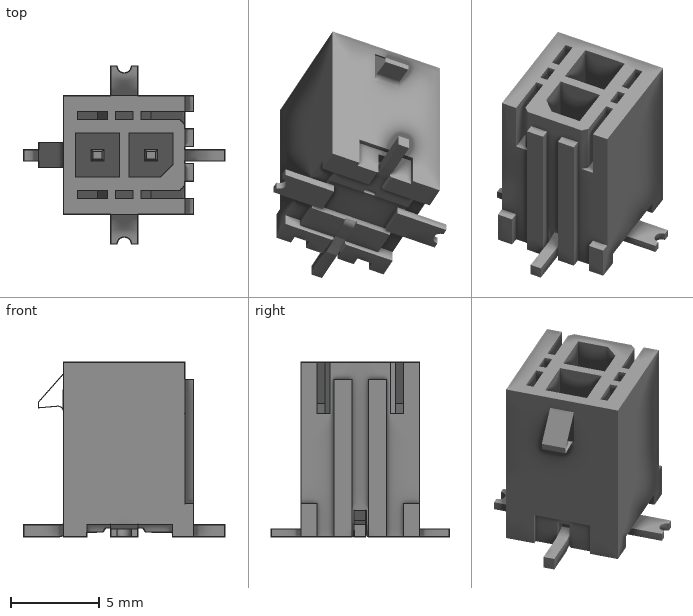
import cadquery as cq
import math


height = 9.9
half_depth = 3.36
x_left = -3.44
x_right = 3.43
pitch = 3.03

cavity_size = 2.51
cavity_floor_z = 3.0
polarizing_chamfer = 0.73

slot_y_inner = 2.0
slot_y_outer = 2.45
slot_floor_z = 7.0
middle_slot_length = 0.97
left_slot_x = -2.64
ramp_x_inner = 0.96
ramp_run = 0.55
ramp_rise = ramp_run
slot_mouth_chamfer = 0.28

rib_projection = 0.5
rib_y_inner = 0.47
rib_y_outer = 1.49
rib_top_z = 8.92
foot_y_inner = 2.45
foot_top_z = 1.89

latch_width = 1.43
latch_projection = 1.4
latch_top_z = 9.23
latch_nose_top_z = 7.65
latch_nose_bottom_z = 7.31
latch_root_z = 7.4
latch_root_radius = 0.34

relief_x_left = -2.12
relief_x_right = 2.73
relief_z = 0.28
side_notch_z = 0.71
end_recess_width = 3.34
end_recess_height = 1.88
end_recess_depth = 0.25

contact_reach = 5.7
contact_y = -0.02
contact_width = 0.65
post_thickness = 0.735
post_top_z = 7.0
tip_inset = 0.12
tip_length = 0.6
tip_base_z = post_top_z - tip_length
tail_thickness = 0.7
ramp_start_x = 3.56
ramp_under_start_x = 3.72
ramp_end_x = 2.62
ramp_angle = 13.3
ramp_slope = math.tan(math.radians(ramp_angle))
ramp_top_z = tail_thickness + (ramp_start_x - ramp_end_x) * ramp_slope
tail_lift = (ramp_under_start_x - ramp_end_x) * ramp_slope
base_top_z = 2.2
heel_radius = 0.5
post_x_inner = pitch / 2 - post_thickness / 2
post_x_outer = pitch / 2 + post_thickness / 2

channel_width = 0.71
channel_top_z = 1.51
channel_flare = 0.1

clip_reach = 5.047
clip_width = 1.53
clip_thickness = 0.46
clip_leg_top_z = 2.5
clip_notch_radius = 0.4
clip_channel_z = 0.5
clip_channel_half_top = 1.06
clip_channel_half_bottom = 1.2

cut_margin = 1.0


def box(x0, x1, y0, y1, z0, z1):
    """Box between two opposite corners."""
    return cq.Workplane("XY").box(x1 - x0, y1 - y0, z1 - z0, centered=False).translate((x0, y0, z0))


def along_y(outline, y0, y1):
    """Closed XZ outline extruded from y0 to y1."""
    return outline.close().extrude(y0 - y1).translate((0, y0, 0))


def make_block():
    """Plain block with the ribs and feet on its +X side."""
    block = box(x_left, x_right, -half_depth, half_depth, 0, height)
    x_rib = x_right + rib_projection
    for y0, y1, top_z in (
        (rib_y_inner, rib_y_outer, rib_top_z),
        (foot_y_inner, half_depth, foot_top_z),
    ):
        block = block.union(box(x_right, x_rib, y0, y1, 0, top_z))
        block = block.union(box(x_right, x_rib, -y1, -y0, 0, top_z))
    return block


def make_latch():
    """Wedge with a filleted underside on the -X face."""
    x_nose = x_left - latch_projection
    outline = (
        cq.Workplane("XZ")
        .moveTo(x_left, latch_top_z)
        .lineTo(x_nose, latch_nose_top_z)
        .lineTo(x_nose, latch_nose_bottom_z)
        .lineTo(x_left - latch_root_radius, latch_root_z)
        .tangentArcPoint((x_left, latch_root_z - latch_root_radius), relative=False)
    )
    return along_y(outline, -latch_width / 2, latch_width / 2)


def make_cavities():
    """Square cavity over each contact, the +X one with a polarizing corner."""
    half = cavity_size / 2
    left, right = (
        box(x - half, x + half, -half, half, cavity_floor_z, height) for x in (-pitch / 2, pitch / 2)
    )
    right = right.edges("|Z and >X and <Y").chamfer(polarizing_chamfer)
    return left.union(right)


def make_slots():
    """Three slots on the +Y side: a short middle one and two with ramped floors."""
    half = middle_slot_length / 2
    y0 = slot_y_inner
    y1 = slot_y_outer
    middle = box(-half, half, y0, y1, slot_floor_z, height)
    left = along_y(
        cq.Workplane("XZ")
        .moveTo(left_slot_x, height)
        .lineTo(left_slot_x, slot_floor_z)
        .lineTo(-ramp_x_inner - ramp_run, slot_floor_z)
        .lineTo(-ramp_x_inner, slot_floor_z + ramp_rise)
        .lineTo(-ramp_x_inner, height),
        y0,
        y1,
    )
    right = along_y(
        cq.Workplane("XZ")
        .moveTo(x_right, height)
        .lineTo(x_right, slot_floor_z)
        .lineTo(ramp_x_inner + ramp_run, slot_floor_z)
        .lineTo(ramp_x_inner, slot_floor_z + ramp_rise)
        .lineTo(ramp_x_inner, height),
        y0,
        y1,
    )
    mouth = (
        cq.Workplane("XY", origin=(x_right, y0, slot_floor_z))
        .lineTo(-slot_mouth_chamfer, 0)
        .lineTo(0, -slot_mouth_chamfer)
        .close()
        .extrude(height - slot_floor_z)
    )
    return middle.union(left).union(right).union(mouth)


def make_underside():
    """Shallow relief between the end walls, deeper side notches and the cross channel for the clips."""
    y_edge = half_depth + cut_margin
    underside = box(relief_x_left, relief_x_right, -y_edge, y_edge, -cut_margin, relief_z)
    for y0, y1 in ((-y_edge, -slot_y_outer), (slot_y_outer, y_edge)):
        underside = underside.union(box(relief_x_left, relief_x_right, y0, y1, -cut_margin, side_notch_z))
    cross_channel = along_y(
        cq.Workplane("XZ")
        .moveTo(-clip_channel_half_bottom, relief_z)
        .lineTo(-clip_channel_half_top, clip_channel_z)
        .lineTo(clip_channel_half_top, clip_channel_z)
        .lineTo(clip_channel_half_bottom, relief_z),
        -y_edge,
        y_edge,
    )
    return underside.union(cross_channel)


def make_contact_channel():
    """Channel on the +X side for a contact tail, open at the bottom with flared lips."""
    half = channel_width / 2
    return (
        cq.Workplane("YZ", origin=(post_x_inner, 0, 0))
        .moveTo(-half, channel_top_z)
        .lineTo(-half, channel_flare)
        .lineTo(-half - channel_flare, 0)
        .lineTo(half + channel_flare, 0)
        .lineTo(half, channel_flare)
        .lineTo(half, channel_top_z)
        .close()
        .extrude(x_right + rib_projection - post_x_inner)
    )


def make_contact():
    """Contact on the +X side: upright post on a wider base, bent tail and tapered tip."""
    outline = (
        cq.Workplane("XZ")
        .moveTo(post_x_inner, tip_base_z)
        .lineTo(post_x_inner, tail_lift + heel_radius)
        .tangentArcPoint((post_x_inner + heel_radius, tail_lift), relative=False)
        .lineTo(ramp_end_x, tail_lift)
        .lineTo(ramp_under_start_x, 0)
        .lineTo(contact_reach, 0)
        .lineTo(contact_reach, tail_thickness)
        .lineTo(ramp_start_x, tail_thickness)
        .lineTo(ramp_end_x, ramp_top_z)
        .lineTo(ramp_end_x, base_top_z)
        .lineTo(post_x_outer, base_top_z)
        .lineTo(post_x_outer, tip_base_z)
    )
    y0 = contact_y - contact_width / 2
    tip = (
        cq.Workplane("XY", origin=(pitch / 2, contact_y, tip_base_z))
        .rect(post_thickness, contact_width)
        .extrude(tip_length, taper=math.degrees(math.atan(tip_inset / tip_length)))
    )
    return along_y(outline, y0, y0 + contact_width).union(tip)


def make_clip():
    """Clip on the +Y side: L-shaped strip with a half-round notch at its end."""
    half = clip_width / 2
    foot = box(-half, half, slot_y_inner, clip_reach, 0, clip_thickness)
    leg = box(-half, half, slot_y_inner, slot_y_outer, 0, clip_leg_top_z)
    notch = cq.Workplane("XY", origin=(0, clip_reach, 0)).circle(clip_notch_radius).extrude(clip_thickness)
    return foot.union(leg).cut(notch)


right_contact = make_contact()
contacts = [right_contact, right_contact.mirror("YZ")]

rear_clip = make_clip()
clips = [rear_clip, rear_clip.mirror("XZ")]

slots = make_slots()
contact_channel = make_contact_channel()
end_recess = box(
    x_left,
    x_left + end_recess_depth,
    -end_recess_width / 2,
    end_recess_width / 2,
    0,
    end_recess_height,
)

housing = make_block().union(make_latch())
housing = housing.cut(make_cavities()).cut(make_underside()).cut(end_recess)
housing = housing.cut(slots).cut(slots.mirror("XZ"))
housing = housing.cut(contact_channel).cut(contact_channel.mirror("YZ"))
for insert in contacts + clips:
    housing = housing.cut(insert)

result = cq.Compound.makeCompound([housing.val(), *(body.val() for body in contacts + clips)])